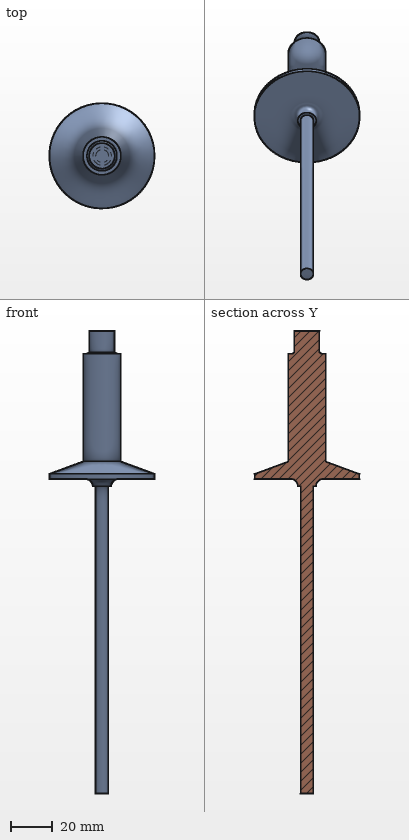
import cadquery as cq

flange_radius = 25.2
body_radius = 9.0
head_diameter = 12.2
head_radius = head_diameter / 2
stem_radius = 3.0
collar_radius = 4.5

collar_bottom = 146.7
flange_bottom = 150.3
flange_rim_top = 152.7
flange_cone_top = 158.7
body_top = 210.2
head_top = 221.0

lip_width = 1.0
lip_height = 0.7
collar_fillet = flange_bottom - collar_bottom

profile = (
    cq.Workplane("XZ")
    .moveTo(0, 0)
    .lineTo(stem_radius, 0)
    .lineTo(stem_radius, collar_bottom)
    .lineTo(collar_radius, collar_bottom)
    .radiusArc((collar_radius + collar_fillet, flange_bottom), collar_fillet)
    .lineTo(flange_radius, flange_bottom)
    .lineTo(flange_radius, flange_rim_top)
    .lineTo(body_radius, flange_cone_top)
    .lineTo(body_radius, body_top)
    .lineTo(head_radius + lip_width, body_top)
    .lineTo(head_radius, body_top + lip_height)
    .lineTo(head_radius, head_top)
    .lineTo(0, head_top)
    .close()
)

result = profile.revolve(360, (0, 0, 0), (0, 1, 0))